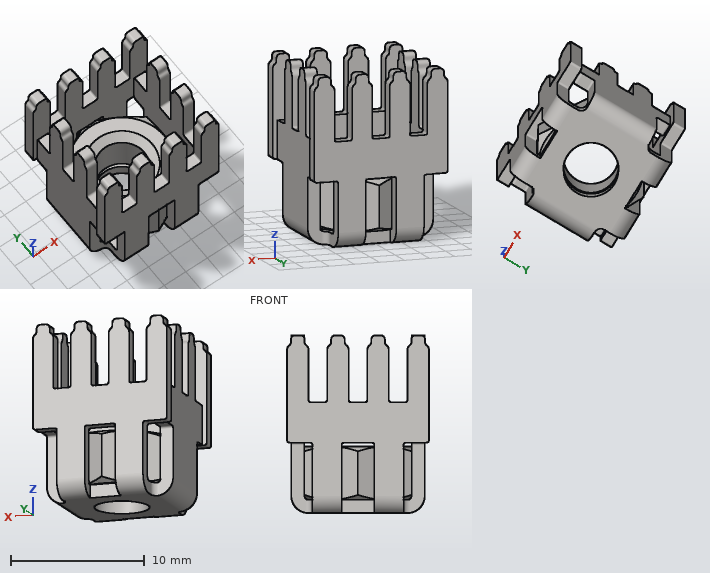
import cadquery as cq
import math

overshoot = 0.13

cage_size = 10.0
height = 13.3
sheet = 1.0
inner_bend_radius = 0.3
bend_radius = inner_bend_radius + sheet
half_cage = cage_size / 2
flat_half = half_cage - bend_radius

band_bottom = 5.27
band_top = 8.3
front_band_width = 10.63
side_band_width = 7.82
front_leg_outer = 3.42
front_window_half = 1.21
side_leg_half = 2.71
band_corner_radius = 0.2
root_radius = 0.17
floor_corner_radius = 0.49

front_tines = 4
side_tines = 2
tine_width = 1.62
tine_pitch = (front_band_width - tine_width) / (front_tines - 1)
neck_width = 1.04
tip_radius = 0.32
neck_bottom = 12.81
shoulder_bottom = 12.22
shoulder_join = 0.45

nut_flats = cage_size - 2 * sheet
nut_height = 4.0
nut_top = sheet + nut_height
nut_corners = nut_flats / math.cos(math.radians(30))
chamfer_circle_radius = 3.98
chamfer_angle = 30.0
bore_radius = 2.06
countersink_radius = 2.82
countersink_angle = 60.0


def plate(left, right, bottom, top):
    """Upright rectangle of sheet, in the plane of the front flap."""
    return (
        cq.Workplane("XY")
        .box(right - left, sheet, top - bottom, centered=False)
        .translate((left, -half_cage, bottom))
    )


def tine(center_x):
    """Tine with a rounded tip and S-curved shoulders, in the plane of the front flap."""
    neck = neck_width / 2
    edge = tine_width / 2
    join_x = neck + shoulder_join * (edge - neck)
    join_z = neck_bottom - shoulder_join * (neck_bottom - shoulder_bottom)
    half_profile = (
        cq.Workplane("XZ", origin=(center_x, sheet - half_cage, 0))
        .moveTo(0, height)
        .lineTo(neck - tip_radius, height)
        .tangentArcPoint((neck, height - tip_radius), relative=False)
        .lineTo(neck, neck_bottom)
        .tangentArcPoint((join_x, join_z), relative=False)
        .tangentArcPoint((edge, shoulder_bottom), relative=False)
        .lineTo(edge, band_top)
        .lineTo(0, band_top)
    )
    return half_profile.mirrorY().extrude(sheet)


def fillet_level(flap, z, x_min, x_max, radius):
    """Round the through-thickness edges at one level whose |x| lies in a range."""
    for low, high in ((x_min, x_max), (-x_max, -x_min)):
        box = cq.selectors.BoxSelector(
            (low, -half_cage - overshoot, z - overshoot),
            (high, -half_cage + sheet + overshoot, z + overshoot),
        )
        flap = flap.edges("|Y").edges(box).fillet(radius)
    return flap


def flap_blank(band_width, legs, tine_count):
    """Legs, band and tines of one flap, before its corners are rounded."""
    blank = plate(-band_width / 2, band_width / 2, band_bottom, band_top)
    for left, right in legs:
        blank = blank.union(plate(left, right, bend_radius, band_bottom))
    for index in range(tine_count):
        blank = blank.union(tine((index - (tine_count - 1) / 2) * tine_pitch))
    return blank.clean()


def make_front_flap():
    half_band = front_band_width / 2
    legs = [(-front_leg_outer, -front_window_half), (front_window_half, front_leg_outer)]
    flap = flap_blank(front_band_width, legs, front_tines)
    flap = fillet_level(flap, band_top, 0, half_band - root_radius, root_radius)
    flap = fillet_level(flap, band_bottom, 0, half_band - root_radius, root_radius)
    leg_clear = front_leg_outer + root_radius
    return fillet_level(flap, band_bottom, leg_clear, half_band + overshoot, band_corner_radius)


def make_side_flap():
    half_band = side_band_width / 2
    flap = flap_blank(side_band_width, [(-side_leg_half, side_leg_half)], side_tines)
    for level in (band_top, band_bottom):
        flap = fillet_level(flap, level, 0, half_band - root_radius, root_radius)
        flap = fillet_level(flap, level, half_band - root_radius, half_band + overshoot, band_corner_radius)
    return flap


def bent_channel(length):
    """Floor strip along Y with both long sides bent upward, up to the end of the bends."""
    outer = (
        cq.Workplane("XY")
        .box(cage_size, length, 2 * bend_radius, centered=(True, True, False))
        .edges("|Y and <Z")
        .fillet(bend_radius)
    )
    inner = (
        cq.Workplane("XY", origin=(0, 0, sheet))
        .box(nut_flats, length, 2 * bend_radius, centered=(True, True, False))
        .edges("|Y and <Z")
        .fillet(inner_bend_radius)
    )
    below_flaps = cq.Workplane("XY").box(cage_size, length, bend_radius, centered=(True, True, False))
    return outer.cut(inner).intersect(below_flaps)


def make_floor():
    """Floor with its four bends, rounded inside corners, front and back windows and bore."""
    across_x = bent_channel(2 * flat_half)
    across_y = bent_channel(2 * front_leg_outer).rotate((0, 0, 0), (0, 0, 1), 90)
    outline = (
        cq.Workplane("XY")
        .rect(cage_size, 2 * side_leg_half)
        .extrude(bend_radius)
        .union(cq.Workplane("XY").rect(2 * front_leg_outer, cage_size).extrude(bend_radius))
    )
    for x in (-front_leg_outer, front_leg_outer):
        for y in (-side_leg_half, side_leg_half):
            corner = cq.selectors.BoxSelector(
                (x - overshoot, y - overshoot, 0), (x + overshoot, y + overshoot, bend_radius)
            )
            outline = outline.edges("|Z").edges(corner).fillet(floor_corner_radius)
    windows = (
        cq.Workplane("XY")
        .pushPoints([(0, -half_cage), (0, half_cage)])
        .rect(2 * front_window_half, 2 * bend_radius)
        .extrude(bend_radius)
    )
    bore = cq.Workplane("XY").circle(bore_radius).extrude(bend_radius)
    return across_x.union(across_y).intersect(outline).cut(windows).cut(bore)


def make_cage():
    cage = make_floor()
    front_flap = make_front_flap()
    side_flap = make_side_flap()
    for angle, flap in ((0, front_flap), (90, side_flap), (180, front_flap), (270, side_flap)):
        cage = cage.union(flap.rotate((0, 0, 0), (0, 0, 1), angle))
    return cage.clean()


def chamfer_envelope():
    """Turned body that trims the hexagon corners at both ends."""
    corner_radius = nut_corners / 2 + overshoot
    drop = (corner_radius - chamfer_circle_radius) * math.tan(math.radians(chamfer_angle))
    return (
        cq.Workplane("XZ")
        .moveTo(0, sheet)
        .lineTo(chamfer_circle_radius, sheet)
        .lineTo(corner_radius, sheet + drop)
        .lineTo(corner_radius, nut_top - drop)
        .lineTo(chamfer_circle_radius, nut_top)
        .lineTo(0, nut_top)
        .close()
        .revolve(360, (0, 0, 0), (0, 1, 0))
    )


def nut_bore():
    """Straight bore with a countersink at both ends."""
    depth = (countersink_radius - bore_radius) / math.tan(math.radians(countersink_angle))
    return (
        cq.Workplane("XZ")
        .moveTo(0, sheet)
        .lineTo(countersink_radius, sheet)
        .lineTo(bore_radius, sheet + depth)
        .lineTo(bore_radius, nut_top - depth)
        .lineTo(countersink_radius, nut_top)
        .lineTo(0, nut_top)
        .close()
        .revolve(360, (0, 0, 0), (0, 1, 0))
    )


def make_nut(cage):
    """Nut resting on the floor, corners toward the windows, lower edge seated against the bends."""
    hexagon = (
        cq.Workplane("XY", origin=(0, 0, sheet))
        .transformed(rotate=(0, 0, 90))
        .polygon(6, nut_corners)
        .extrude(nut_height)
    )
    return hexagon.intersect(chamfer_envelope()).cut(nut_bore()).cut(cage)


cage = make_cage()
nut = make_nut(cage)
result = cq.Compound.makeCompound([cage.solids().val(), nut.solids().val()])